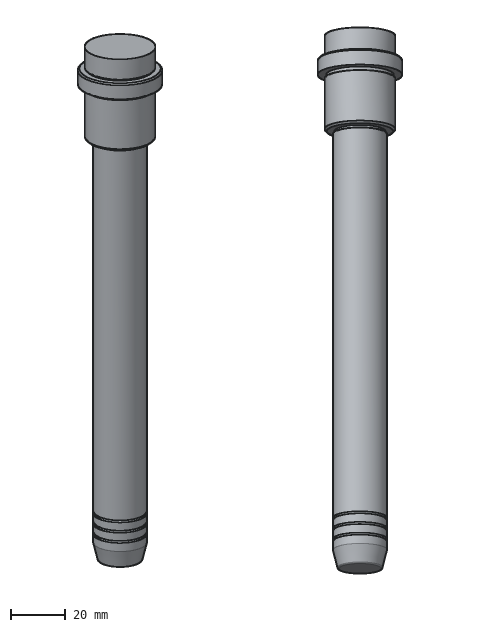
import cadquery as cq
import math

total_length = 201.0
shaft_radius = 19.9 / 2
head_radius = 26.0 / 2
flange_radius = 31.0 / 2

flange_top = 192.4
flange_thickness = 6.0
flange_bottom = flange_top - flange_thickness
head_bottom = 165.0

flange_chamfer = 0.6
head_chamfer = 0.8
relief_depth = 0.6
upper_relief_width = 0.6
lower_relief_width = 1.5
shaft_relief_width = 1.0

taper_length = 7.0
taper_angle = 14.0
tip_fillet = 0.6

groove_count = 3
first_groove_height = 10.7
groove_pitch = 4.0
groove_radius = 0.5


def cylinder(radius, bottom, top):
    """Solid cylinder on the Z axis between two heights."""
    return cq.Workplane("XY").workplane(offset=bottom).circle(radius).extrude(top - bottom)


def relief(radius, bottom, width):
    """Ring that cuts a shallow rectangular relief into a given radius."""
    outer = cylinder(radius + relief_depth, bottom, bottom + width)
    inner = cylinder(radius - relief_depth, bottom, bottom + width)
    return outer.cut(inner)


def make_shaft():
    """Shaft with a tapered, rounded tip."""
    tip_radius = shaft_radius - taper_length * math.tan(math.radians(taper_angle))
    profile = (
        cq.Workplane("XZ")
        .lineTo(tip_radius, 0)
        .lineTo(shaft_radius, taper_length)
        .lineTo(shaft_radius, head_bottom)
        .lineTo(0, head_bottom)
        .close()
    )
    return profile.revolve(360, (0, 0), (0, 1)).faces("<Z").edges().fillet(tip_fillet)


def make_groove(height):
    """Torus that cuts one rounded groove around the shaft."""
    section = cq.Workplane("XZ").center(shaft_radius, height).circle(groove_radius)
    return section.revolve(360, (-shaft_radius, 0), (-shaft_radius, 1))


shaft = make_shaft()
for index in range(groove_count):
    shaft = shaft.cut(make_groove(first_groove_height + index * groove_pitch))
shaft = shaft.cut(relief(shaft_radius, head_bottom - shaft_relief_width, shaft_relief_width))

head = cylinder(head_radius, head_bottom, total_length).faces("<Z").edges().chamfer(head_chamfer)
head = head.cut(relief(head_radius, flange_top, upper_relief_width))
head = head.cut(relief(head_radius, flange_bottom - lower_relief_width, lower_relief_width))

flange = cylinder(flange_radius, flange_bottom, flange_top).faces(">Z").edges().chamfer(flange_chamfer)

result = shaft.union(head).union(flange)